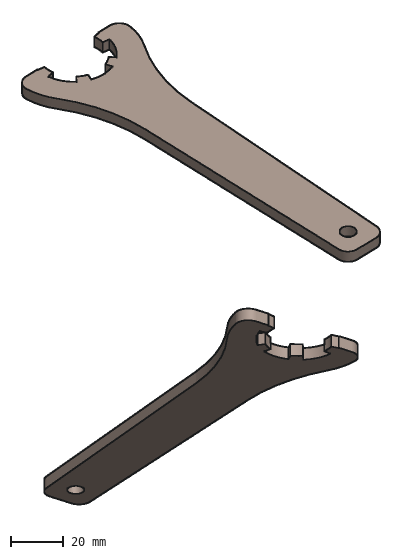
import cadquery as cq
import math

length = 163.0
thickness = 5.0

head_center_x = 3.1
head_diameter = 54.9
head_radius = head_diameter / 2
horn_radius = 5.2

opening_radius = 16.5
tooth_tip_radius = 13.4
tooth_half_angle = 10.0
tooth_angles = (-90.0, -30.0, 30.0, 90.0)

handle_start_x = 54.7
handle_start_half_width = 12.0
handle_end_half_width = 10.0
end_corner_radius = 5.0

hole_diameter = 6.5
hole_inset = 10.1


def polar(radius, degrees):
    """Point at a radius and angle around the head centre."""
    angle = math.radians(degrees)
    return (head_center_x + radius * math.cos(angle), radius * math.sin(angle))


def mirrored(point):
    return (point[0], -point[1])


def mid_arc(center, radius, start, end):
    """Point halfway along the short arc from start to end."""
    dx = (start[0] + end[0]) / 2 - center[0]
    dy = (start[1] + end[1]) / 2 - center[1]
    reach = radius / math.hypot(dx, dy)
    return (center[0] + dx * reach, center[1] + dy * reach)


def make_body():
    """Solid wrench outline, before the jaw opening and the hole are cut."""
    head_center = (head_center_x, 0)

    horn_offset = head_radius - horn_radius
    horn_shift = horn_radius - head_center_x
    horn_center = (horn_radius, math.sqrt(horn_offset**2 - horn_shift**2))
    horn_start = (0, horn_center[1])
    horn_end = (
        head_center_x + horn_shift * head_radius / horn_offset,
        horn_center[1] * head_radius / horn_offset,
    )
    horn_mid = mid_arc(horn_center, horn_radius, horn_start, horn_end)

    handle_start = (handle_start_x, handle_start_half_width)
    handle_end = (length, handle_end_half_width)
    taper = math.atan2(handle_start_half_width - handle_end_half_width, length - handle_start_x)
    normal = (math.sin(taper), math.cos(taper))
    offset = (handle_start_x - head_center_x, handle_start_half_width)
    offset_along_normal = offset[0] * normal[0] + offset[1] * normal[1]
    neck_radius = (offset[0]**2 + offset[1]**2 - head_radius**2) / (2 * (head_radius - offset_along_normal))
    neck_center = (
        handle_start[0] + neck_radius * normal[0],
        handle_start[1] + neck_radius * normal[1],
    )
    neck_angle = math.degrees(math.atan2(neck_center[1], neck_center[0] - head_center_x))
    neck_start = polar(head_radius, neck_angle)

    head_mid = mid_arc(head_center, head_radius, horn_end, neck_start)
    neck_mid = mid_arc(neck_center, neck_radius, neck_start, handle_start)

    body = (
        cq.Workplane("XY")
        .moveTo(*horn_start)
        .threePointArc(horn_mid, horn_end)
        .threePointArc(head_mid, neck_start)
        .threePointArc(neck_mid, handle_start)
        .lineTo(*handle_end)
        .lineTo(*mirrored(handle_end))
        .lineTo(*mirrored(handle_start))
        .threePointArc(mirrored(neck_mid), mirrored(neck_start))
        .threePointArc(mirrored(head_mid), mirrored(horn_end))
        .threePointArc(mirrored(horn_mid), mirrored(horn_start))
        .close()
        .extrude(thickness)
    )
    return body.edges("|Z and >X").fillet(end_corner_radius)


def make_tooth(angle):
    """Radial-sided tooth reaching from the opening's wall to the tip circle."""
    low = angle - tooth_half_angle
    high = angle + tooth_half_angle
    return (
        cq.Workplane("XY")
        .moveTo(*polar(tooth_tip_radius, low))
        .lineTo(*polar(opening_radius, low))
        .threePointArc(polar(opening_radius, angle), polar(opening_radius, high))
        .lineTo(*polar(tooth_tip_radius, high))
        .threePointArc(polar(tooth_tip_radius, angle), polar(tooth_tip_radius, low))
        .close()
        .extrude(thickness)
    )


def make_opening():
    """Round jaw opening with the teeth left standing."""
    opening = cq.Workplane("XY").center(head_center_x, 0).circle(opening_radius).extrude(thickness)
    for angle in tooth_angles:
        opening = opening.cut(make_tooth(angle))
    return opening


def make_hole():
    """Hanging hole through the handle's end."""
    hole = cq.Workplane("XY").center(length - hole_inset, 0)
    return hole.circle(hole_diameter / 2).extrude(thickness)


result = make_body().cut(make_opening()).cut(make_hole())